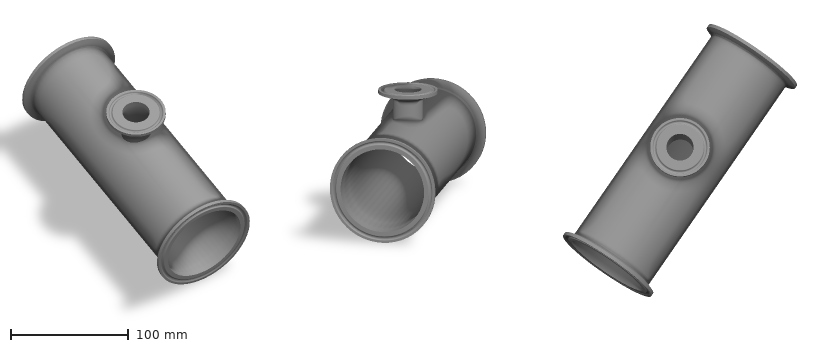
import cadquery as cq
import math

length = 220.0
tube_diameter = 76.3
tube_bore = 72.4
tube_flange_diameter = 91.0
tube_groove_diameter = 83.4

total_height = 107.8
branch_diameter = 25.3
branch_bore = 23.0
branch_flange_diameter = 50.5
branch_groove_diameter = 43.3
branch_top = total_height - tube_flange_diameter / 2

rim_thickness = 2.9
back_angle = math.radians(20)
neck_radius = 2.0
groove_width = 2.9
groove_depth = 1.3
groove_lip_radius = 0.55


def flange(tube_dia, flange_dia, groove_dia):
    """Clamp flange about Z: sealing face at z = 0, tube side toward -Z."""
    tube_r = tube_dia / 2
    flange_r = flange_dia / 2

    corner_depth = rim_thickness + (flange_r - tube_r) * math.tan(back_angle)
    turn = math.pi / 2 - back_angle
    tangent = neck_radius * math.tan(turn / 2)
    neck_end = corner_depth + tangent
    cone_end = (
        tube_r + tangent * math.cos(back_angle),
        -corner_depth + tangent * math.sin(back_angle),
    )
    arc_middle = (
        tube_r + neck_radius * (1 - math.cos(turn / 2)),
        -neck_end + neck_radius * math.sin(turn / 2),
    )
    body = (
        cq.Workplane("XZ")
        .lineTo(flange_r, 0)
        .lineTo(flange_r, -rim_thickness)
        .lineTo(*cone_end)
        .threePointArc(arc_middle, (tube_r, -neck_end))
        .lineTo(0, -neck_end)
        .close()
        .revolve(360, (0, 0, 0), (0, 1, 0))
    )

    inner_r = (groove_dia - groove_width) / 2
    outer_r = (groove_dia + groove_width) / 2
    groove = (
        cq.Workplane("XZ")
        .moveTo(inner_r, 0)
        .threePointArc((groove_dia / 2, -groove_depth), (outer_r, 0))
        .close()
        .revolve(360, (0, 0, 0), (0, 1, 0))
    )
    reach = outer_r + groove_lip_radius
    half_height = groove_lip_radius / 2
    groove_edges = cq.selectors.BoxSelector(
        (-reach, -reach, -half_height),
        (reach, reach, half_height),
        boundingbox=True,
    )
    return body.cut(groove).edges(groove_edges).fillet(groove_lip_radius)


def along_x(diameter, end_inset=0):
    """Cylinder on the main axis, stopping end_inset short of each end."""
    return cq.Workplane("YZ").circle(diameter / 2).extrude(length / 2 - end_inset, both=True)


def upward(diameter, end_inset=0):
    """Cylinder from the main axis, stopping end_inset short of the branch face."""
    return cq.Workplane("XY").circle(diameter / 2).extrude(branch_top - end_inset)


tube = along_x(tube_diameter, rim_thickness)
for side in (-1, 1):
    end_flange = (
        flange(tube_diameter, tube_flange_diameter, tube_groove_diameter)
        .rotate((0, 0, 0), (0, 1, 0), side * 90)
        .translate((side * length / 2, 0, 0))
    )
    tube = tube.union(end_flange)

branch_flange = flange(branch_diameter, branch_flange_diameter, branch_groove_diameter)
branch = upward(branch_diameter, rim_thickness).union(branch_flange.translate((0, 0, branch_top)))

result = tube.union(branch).cut(along_x(tube_bore)).cut(upward(branch_bore))